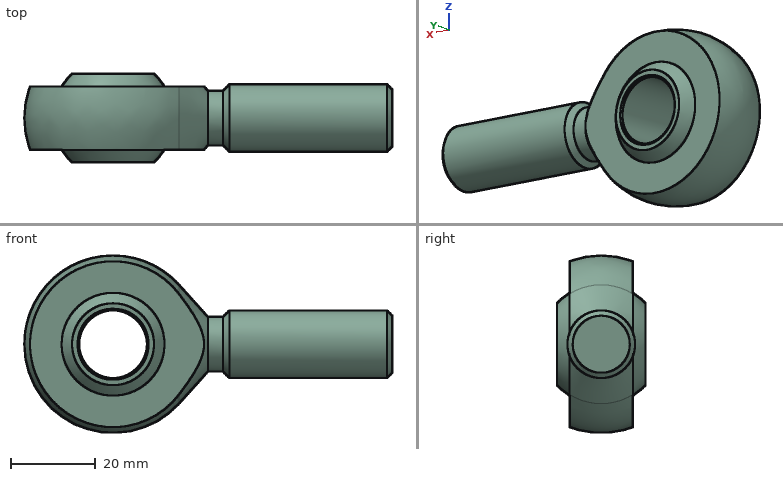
import cadquery as cq
import math


HEAD_DIAMETER = 42.0
HEAD_WIDTH = 15.0

BALL_DIAMETER = 28.575
BALL_WIDTH = 21.0
BORE_DIAMETER = 16.0
BORE_CHAMFER = 0.4

NECK_DIAMETER = 13.0
NECK_START = 22.4
SHANK_DIAMETER = 16.0
SHANK_START = 26.0
SHANK_END = 66.0
END_CHAMFER = 1.25

head_radius = HEAD_DIAMETER / 2
neck_radius = NECK_DIAMETER / 2
shank_radius = SHANK_DIAMETER / 2
shoulder_chamfer = shank_radius - neck_radius


def slab(width):
    """Block centred on the origin, limited to the given width along Y and larger than the head."""
    return cq.Workplane("XY").box(2 * HEAD_DIAMETER, width, 2 * HEAD_DIAMETER)


def make_head():
    """Sphere with a cone tangent to it that narrows to the neck, cut flat on both sides."""
    neck_corner_angle = math.atan2(neck_radius, NECK_START)
    neck_corner_distance = math.hypot(NECK_START, neck_radius)
    tangent_angle = neck_corner_angle + math.acos(head_radius / neck_corner_distance)
    tangent_point = (head_radius * math.cos(tangent_angle), head_radius * math.sin(tangent_angle))
    body = (
        cq.Workplane("XZ")
        .moveTo(-head_radius, 0)
        .threePointArc((0, head_radius), tangent_point)
        .lineTo(NECK_START, neck_radius)
        .lineTo(NECK_START, 0)
        .close()
        .revolve(360, (0, 0), (1, 0))
    )
    return body.intersect(slab(HEAD_WIDTH))


def make_shank():
    """Neck and plain shank, with the neck starting inside the head so that the two fuse."""
    neck_root = (BALL_DIAMETER + HEAD_DIAMETER) / 4
    return (
        cq.Workplane("XZ")
        .moveTo(neck_root, 0)
        .lineTo(neck_root, neck_radius)
        .lineTo(SHANK_START, neck_radius)
        .lineTo(SHANK_START + shoulder_chamfer, shank_radius)
        .lineTo(SHANK_END - END_CHAMFER, shank_radius)
        .lineTo(SHANK_END, shank_radius - END_CHAMFER)
        .lineTo(SHANK_END, 0)
        .close()
        .revolve(360, (0, 0), (1, 0))
    )


def make_ball():
    """Sphere cut flat at both ends of the bore."""
    return cq.Workplane("XY").sphere(BALL_DIAMETER / 2).intersect(slab(BALL_WIDTH))


def make_bore():
    """Through bore along Y, widened by a chamfer at both ends."""
    bore_radius = BORE_DIAMETER / 2
    half_width = BALL_WIDTH / 2
    mouth_radius = bore_radius + BORE_CHAMFER
    return (
        cq.Workplane("XY")
        .moveTo(0, -half_width)
        .lineTo(mouth_radius, -half_width)
        .lineTo(bore_radius, -half_width + BORE_CHAMFER)
        .lineTo(bore_radius, half_width - BORE_CHAMFER)
        .lineTo(mouth_radius, half_width)
        .lineTo(0, half_width)
        .close()
        .revolve(360, (0, 0), (0, 1))
    )


result = make_head().union(make_shank()).union(make_ball()).cut(make_bore())